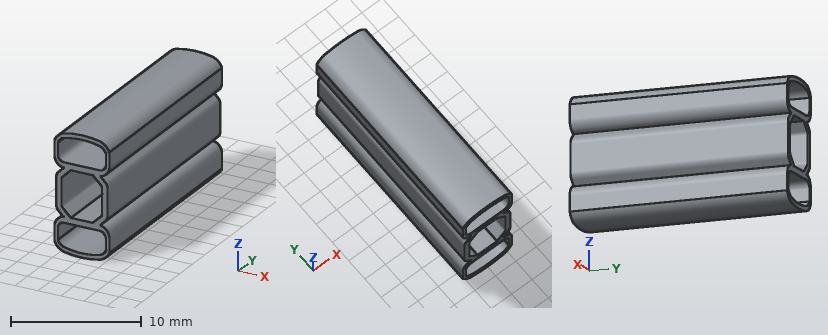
import cadquery as cq
import math

length = 18.0
width = 4.8
height = 10.3
half_height = height / 2

end_half_width = width / 2
crown_half_width = 1.6
crown_drop = 0.18
shoulder_middle = (2.07, 4.7)
side_top = 4.23
base_z = 2.05
base_radius = 0.94

side_wall = 0.3
cavity_half_width = end_half_width - side_wall
cavity_top = 4.77
cavity_crown_half_width = 1.62
cavity_crown_drop = 0.22
cavity_shoulder_middle = (1.89, 4.37)
cavity_side_top = 4.09
cavity_floor = 2.54
cavity_radius = 0.55

middle_half_width = 2.25
middle_corner_z = 1.42
middle_slope_end_x = 1.6
middle_corner_radius = 0.67
bore_half_width = 1.76
bore_half_height = 2.0
bore_flat_half_width = 0.95
bore_corner_z = 1.22
bore_corner_radius = 0.32

cell_overlap = 0.02


def extrude_profile(profile):
    """Extrude an XZ profile along Y, centred on the origin."""
    return profile.extrude(length / 2, both=True)


def domed_cell(half_width, top, crown_half, crown_fall, shoulder, shoulder_end, floor, radius):
    """Solid bar with a domed top, curved shoulders and rounded bottom corners."""
    crown_end_z = top - crown_fall
    shoulder_x, shoulder_z = shoulder
    corner_offset = radius * (1 - math.sqrt(0.5))
    corner_x = half_width - corner_offset
    corner_z = floor + corner_offset
    profile = (
        cq.Workplane("XZ")
        .moveTo(-crown_half, crown_end_z)
        .threePointArc((0, top), (crown_half, crown_end_z))
        .threePointArc(shoulder, (half_width, shoulder_end))
        .lineTo(half_width, floor + radius)
        .threePointArc((corner_x, corner_z), (half_width - radius, floor))
        .lineTo(radius - half_width, floor)
        .threePointArc((-corner_x, corner_z), (-half_width, floor + radius))
        .lineTo(-half_width, shoulder_end)
        .threePointArc((-shoulder_x, shoulder_z), (-crown_half, crown_end_z))
        .close()
    )
    return extrude_profile(profile)


def octagonal_bar(half_width, corner_z, flat_half_width, half_depth, radius):
    """Octagonal bar whose four outer side corners are rounded."""
    upper = [
        (-half_width, corner_z),
        (-flat_half_width, half_depth),
        (flat_half_width, half_depth),
        (half_width, corner_z),
    ]
    lower = [(x, -z) for x, z in reversed(upper)]
    bar = extrude_profile(cq.Workplane("XZ").polyline(upper + lower).close())
    side_edges = bar.faces("<X or >X").edges("|Y")
    return side_edges.fillet(radius)


upper_cell = domed_cell(
    end_half_width, half_height, crown_half_width, crown_drop,
    shoulder_middle, side_top, base_z, base_radius,
)
upper_cavity = domed_cell(
    cavity_half_width, cavity_top, cavity_crown_half_width, cavity_crown_drop,
    cavity_shoulder_middle, cavity_side_top, cavity_floor, cavity_radius,
)
middle_bar = octagonal_bar(
    middle_half_width, middle_corner_z, middle_slope_end_x, base_z + cell_overlap, middle_corner_radius,
)
middle_bore = octagonal_bar(
    bore_half_width, bore_corner_z, bore_flat_half_width, bore_half_height, bore_corner_radius,
)

result = middle_bar.cut(middle_bore)
for cell, cavity in (
    (upper_cell, upper_cavity),
    (upper_cell.mirror("XY"), upper_cavity.mirror("XY")),
):
    result = result.union(cell).cut(cavity)